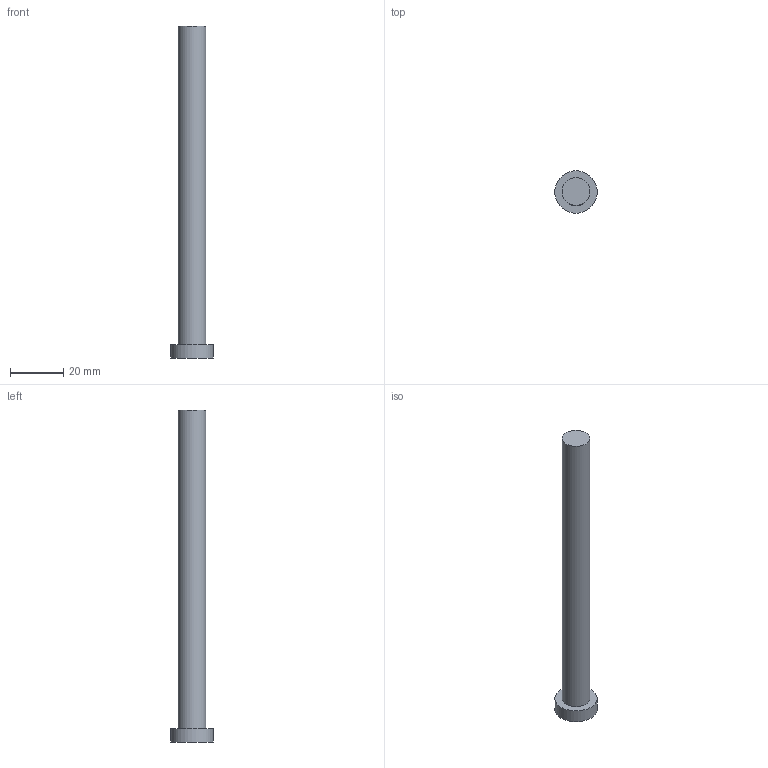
import cadquery as cq

head_diameter = 16.0
head_height = 5.0
shank_diameter = 10.5
overall_length = 125.0


def make_head():
    """Round head resting on the XY plane, centred on the Z axis."""
    return cq.Workplane("XY").circle(head_diameter / 2).extrude(head_height)


def add_shank(head):
    """Shank rising from the top face of the head to the full length."""
    shank_length = overall_length - head_height
    return head.faces(">Z").workplane().circle(shank_diameter / 2).extrude(shank_length)


result = add_shank(make_head())